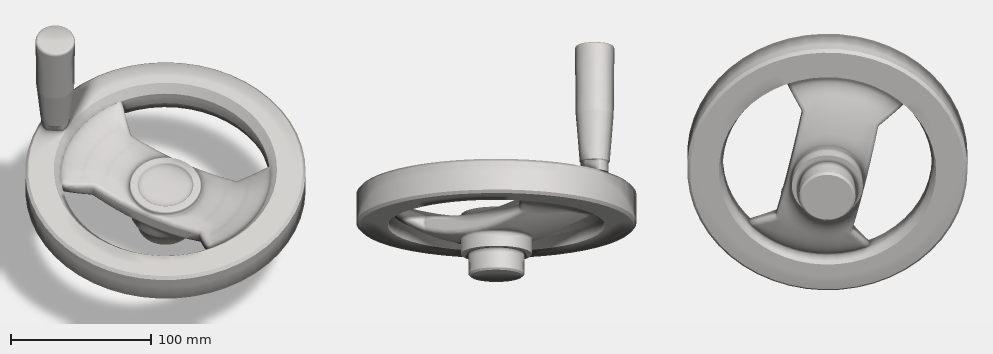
import cadquery as cq
import math


overall_length = 204.0

rim_diameter = 200.0
rim_bottom = 37.0
rim_height = 25.0
rim_top = rim_bottom + rim_height
rim_chamfer = 2.0
mouth_diameter = 159.1
waist_diameter = 149.0
mouth_depth = 6.1
waist_depth = 16.7
waist_top = rim_top - mouth_depth
waist_bottom = rim_top - waist_depth
foot_diameter = 155.0

dish_top = 39.5
dish_top_radius = 179.5
dish_bottom = 24.9
dish_bottom_radius = 136.7
spoke_half_width = 27.7
spoke_flare_start = 43.5
spoke_corner_radius = 2.0
spoke_edge_radius = 3.0
web_overlap = 2.0
selection_margin = 1.0

hub_top = 44.9
hub_upper_diameter = 51.0
hub_lower_diameter = 50.5
hub_middle = 34.7
hub_edge = 1.2
hub_upper_fillet = 1.2
hub_lower_fillet = 1.0
hub_bottom = 16.0
sleeve_diameter = 40.0
sleeve_chamfer = 1.5
sleeve_recess = 1.0

handle_diameter = 28.1
handle_x = rim_diameter / 2 - overall_length + handle_diameter / 2
handle_top = 154.8
handle_edge = 2.0
grip_bottom = 104.8
grip_bottom_diameter = 27.1
handle_bottom = 69.4
handle_bottom_diameter = 21.5
handle_bottom_chamfer = 0.6
neck_diameter = 20.0
neck_across_flats = 17.0
flat_direction = -65.0


def sphere_height(lowest, radius, distance):
    """Height of a bowl with its lowest point on the axis, at a distance from the axis."""
    return lowest + radius - math.sqrt(radius**2 - distance**2)


def make_rim():
    """Chamfered ring whose bore narrows to a waist between two cones."""
    outer = rim_diameter / 2
    profile = (
        cq.Workplane("XZ")
        .moveTo(foot_diameter / 2, rim_bottom)
        .lineTo(outer - rim_chamfer, rim_bottom)
        .lineTo(outer, rim_bottom + rim_chamfer)
        .lineTo(outer, rim_top - rim_chamfer)
        .lineTo(outer - rim_chamfer, rim_top)
        .lineTo(mouth_diameter / 2, rim_top)
        .lineTo(waist_diameter / 2, waist_top)
        .lineTo(waist_diameter / 2, waist_bottom)
        .close()
    )
    return profile.revolve(360, (0, 0, 0), (0, 1, 0))


def make_web():
    """Dish between two spherical faces, cut to two flared spokes with rounded edges."""
    reach = waist_diameter / 2 + web_overlap
    middle = reach / 2
    dish = (
        cq.Workplane("XZ")
        .moveTo(0, dish_bottom)
        .threePointArc(
            (middle, sphere_height(dish_bottom, dish_bottom_radius, middle)),
            (reach, sphere_height(dish_bottom, dish_bottom_radius, reach)),
        )
        .lineTo(reach, sphere_height(dish_top, dish_top_radius, reach))
        .threePointArc(
            (middle, sphere_height(dish_top, dish_top_radius, middle)),
            (0, dish_top),
        )
        .close()
        .revolve(360, (0, 0, 0), (0, 1, 0))
    )
    far_x = rim_diameter / 2
    far_y = spoke_half_width + far_x - spoke_flare_start
    outline = [
        (-far_x, -far_y),
        (-spoke_flare_start, -spoke_half_width),
        (spoke_flare_start, -spoke_half_width),
        (far_x, -far_y),
        (far_x, far_y),
        (spoke_flare_start, spoke_half_width),
        (-spoke_flare_start, spoke_half_width),
        (-far_x, far_y),
    ]
    plan = cq.Workplane("XY").polyline(outline).close().extrude(rim_top)
    corner = cq.selectors.BoxSelector(
        (-reach, -far_y, 0), (reach, far_y, rim_top)
    )
    plan = plan.edges("|Z").edges(corner).fillet(spoke_corner_radius)
    web = dish.intersect(plan)
    for side in (-1, 1):
        spoke_side = cq.selectors.BoxSelector(
            (-far_x, side * (spoke_half_width - selection_margin), 0),
            (far_x, side * waist_diameter / 2, rim_top),
        )
        web = web.edges("not |Z").edges(spoke_side).fillet(spoke_edge_radius)
    return web


def add_hub(web):
    """Hub blended into both faces of the web, with a sleeve sunk into its upper face."""
    lower_hub = (
        cq.Workplane("XY", origin=(0, 0, hub_bottom))
        .circle(hub_lower_diameter / 2)
        .extrude(hub_middle - hub_bottom)
    )
    upper_hub = (
        cq.Workplane("XY", origin=(0, 0, hub_middle))
        .circle(hub_upper_diameter / 2)
        .extrude(hub_top - hub_middle)
        .faces(">Z")
        .edges()
        .fillet(hub_edge)
    )
    body = web.union(lower_hub).union(upper_hub)
    reach = hub_upper_diameter / 2
    upper_joint = cq.selectors.BoxSelector(
        (-reach, -reach, dish_top), (reach, reach, hub_top - hub_edge - selection_margin)
    )
    lower_joint = cq.selectors.BoxSelector(
        (-reach, -reach, dish_bottom), (reach, reach, hub_middle)
    )
    body = body.edges("not |Z").edges(upper_joint).fillet(hub_upper_fillet)
    body = body.edges("not |Z").edges(lower_joint).fillet(hub_lower_fillet)
    sleeve = (
        cq.Workplane("XY")
        .circle(sleeve_diameter / 2)
        .extrude(hub_middle)
        .faces("<Z")
        .edges()
        .chamfer(sleeve_chamfer)
    )
    recess = cq.Workplane(
        cq.Solid.makeCone(
            sleeve_diameter / 2 - sleeve_recess,
            sleeve_diameter / 2,
            sleeve_recess,
            cq.Vector(0, 0, hub_top - sleeve_recess),
        )
    )
    return body.union(sleeve).cut(recess)


def make_handle():
    """Turned grip on a neck with two spanner flats."""
    base_radius = handle_bottom_diameter / 2
    grip = (
        cq.Workplane("XZ")
        .moveTo(0, handle_bottom)
        .lineTo(base_radius - handle_bottom_chamfer, handle_bottom)
        .lineTo(base_radius, handle_bottom + handle_bottom_chamfer)
        .lineTo(grip_bottom_diameter / 2, grip_bottom)
        .lineTo(handle_diameter / 2, handle_top - handle_edge)
        .radiusArc((handle_diameter / 2 - handle_edge, handle_top), -handle_edge)
        .lineTo(0, handle_top)
        .close()
        .revolve(360, (0, 0, 0), (0, 1, 0))
    )
    neck_height = handle_bottom - rim_top
    neck = (
        cq.Workplane("XY", origin=(0, 0, rim_top))
        .circle(neck_diameter / 2)
        .extrude(neck_height)
    )
    flats = (
        cq.Workplane("XY", origin=(0, 0, rim_top))
        .rect(neck_across_flats, neck_diameter)
        .extrude(neck_height)
        .rotate((0, 0, 0), (0, 0, 1), flat_direction)
    )
    handle = grip.union(neck.intersect(flats))
    return handle.translate((handle_x, 0, 0))


web_and_hub = add_hub(make_web())
result = make_rim().union(web_and_hub).union(make_handle())